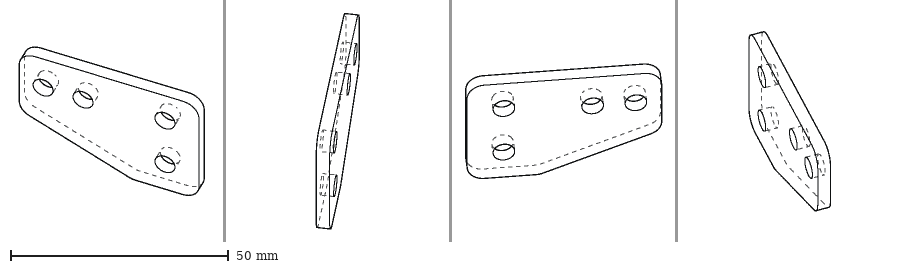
import cadquery as cq

length = 45.0
thickness = 3.15
height = 30.0

corner_radius = 4.0
left_edge_height = 18.55
slope_end_x = 28.3

hole_diameter = 5.0
left_pair_x = 6.0
left_pair_spacing = 10.0
left_pair_depth = 9.22
right_pair_inset = 8.5
right_pair_depth = 8.0
right_pair_spacing = 14.0

outline = [
    (0, height),
    (length, height),
    (length, 0),
    (slope_end_x, 0),
    (0, height - left_edge_height),
]
plate = (
    cq.Workplane("XZ")
    .polyline(outline)
    .close()
    .extrude(thickness)
    .edges("|Y")
    .fillet(corner_radius)
)

left_pair_z = height - left_pair_depth
right_pair_x = length - right_pair_inset
right_pair_z = height - right_pair_depth
hole_centers = [
    (left_pair_x, left_pair_z),
    (left_pair_x + left_pair_spacing, left_pair_z),
    (right_pair_x, right_pair_z),
    (right_pair_x, right_pair_z - right_pair_spacing),
]
holes = (
    cq.Workplane("XZ")
    .pushPoints(hole_centers)
    .circle(hole_diameter / 2)
    .extrude(thickness)
)

result = plate.cut(holes)